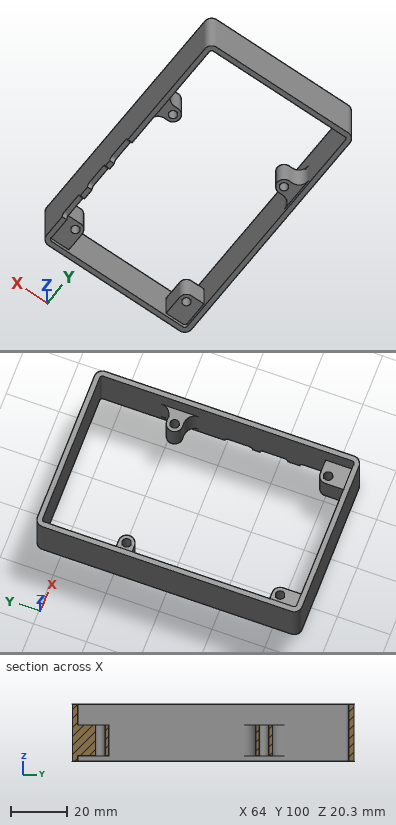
import cadquery as cq

width = 64.0
length = 100.0
height = 20.3
wall = 2.0
corner_radius = 3.0
inner_width = width - 2 * wall
inner_length = length - 2 * wall

hole_diameter = 3.3
hole_spacing_x = 49.0
rear_hole_y = 18.0
front_hole_y = -40.0
boss_radius = 3.0
boss_bottom = 2.0
boss_top = 13.0
boss_height = boss_top - boss_bottom
web_radius = 4.0
hole_x = hole_spacing_x / 2
wall_x = inner_width / 2
overlap = wall / 2

notch_width = 10.5
notch_height = 1.8
notch_corner_radius = 1.5
notch_centers_y = (-32.5, -17.5, -4.2)


def rounded_block(size_x, size_y, radius):
    return cq.Workplane("XY").box(size_x, size_y, height, centered=(True, True, False)).edges("|Z").fillet(radius)


def block(x_min, x_max, y_min, y_max, z_min, z_max):
    return cq.Workplane("XY").box(x_max - x_min, y_max - y_min, z_max - z_min, centered=False).translate(
        (x_min, y_min, z_min)
    )


def rear_boss():
    """Round-nosed boss on the +X side, flaring tangentially into the wall."""
    flare_x = wall_x - web_radius
    flare_y = boss_radius + web_radius
    arc_offset = web_radius * 0.5**0.5
    return (
        cq.Workplane("XY", origin=(0, rear_hole_y, boss_bottom))
        .moveTo(hole_x, boss_radius)
        .threePointArc((hole_x - boss_radius, 0), (hole_x, -boss_radius))
        .lineTo(flare_x, -boss_radius)
        .threePointArc((flare_x + arc_offset, -flare_y + arc_offset), (wall_x, -flare_y))
        .lineTo(wall_x + overlap, -flare_y)
        .lineTo(wall_x + overlap, flare_y)
        .lineTo(wall_x, flare_y)
        .threePointArc((flare_x + arc_offset, flare_y - arc_offset), (flare_x, boss_radius))
        .close()
        .extrude(boss_height)
    )


def front_boss():
    """Corner block on the +X side with one rounded corner around its hole."""
    y_min = -inner_length / 2 - overlap
    body = block(
        hole_x - boss_radius, wall_x + overlap, y_min, front_hole_y + boss_radius, boss_bottom, boss_top
    )
    return body.edges("|Z and <X and >Y").fillet(boss_radius)


def connector_notch(center_y):
    """Cutter through the +X wall, open at the bottom, with rounded upper corners."""
    half_width = notch_width / 2
    cutter = block(wall_x, width / 2, center_y - half_width, center_y + half_width, 0, notch_height)
    return cutter.edges("|X and >Z").fillet(notch_corner_radius)


frame = rounded_block(width, length, corner_radius).cut(
    rounded_block(inner_width, inner_length, corner_radius - wall)
)
for boss in (rear_boss(), front_boss()):
    frame = frame.union(boss).union(boss.mirror("YZ"))

hole_centers = [(side * hole_x, y) for side in (-1, 1) for y in (front_hole_y, rear_hole_y)]
holes = cq.Workplane("XY").pushPoints(hole_centers).circle(hole_diameter / 2).extrude(height)
result = frame.cut(holes)
for notch_y in notch_centers_y:
    result = result.cut(connector_notch(notch_y))